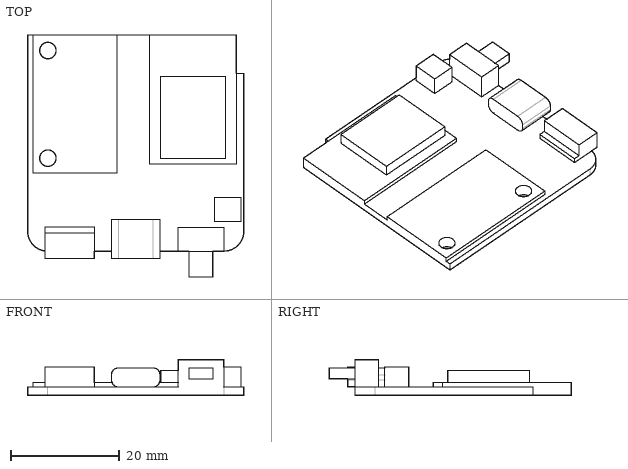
import cadquery as cq

BOARD_WIDTH = 39.9
BOARD_LENGTH = 39.9
BOARD_THICKNESS = 1.55
CORNER_RADIUS = 3.7
NOTCH_WIDTH = 1.4
NOTCH_LENGTH = 7.1

CARD_THICKNESS = 0.85
LEFT_CARD_X = (1.0, 16.5)
LEFT_CARD_LENGTH = 25.5
RIGHT_CARD_START = 22.47
RIGHT_CARD_LENGTH = 23.8
CARD_TOP = BOARD_THICKNESS + CARD_THICKNESS

HOLE_DIAMETER = 3.0
HOLE_X = 3.75
HOLE_BACK_OFFSET = 2.9
HOLE_SPACING = 19.85

CHIP_X = (24.55, 36.5)
CHIP_BACK_OFFSET = 7.75
CHIP_LENGTH = 15.1
CHIP_HEIGHT = 2.2

CONNECTOR_FRONT = -1.35
SOCKET_X = (3.2, 12.35)
SOCKET_BODY_BACK = 3.35
SOCKET_LEDGE_BACK = 4.5
SOCKET_HEIGHT = 3.7
SOCKET_LEDGE_HEIGHT = 1.0
USB_X = (15.45, 24.45)
USB_BACK = 5.9
USB_HEIGHT = 3.55
USB_RADIUS = 1.3

SWITCH_X = (27.75, 36.2)
SWITCH_DEPTH = 4.4
SWITCH_HEIGHT = 5.05
LEVER_X = (29.75, 34.2)
LEVER_LENGTH = 4.8
LEVER_Z = (3.05, 5.1)
BLOCK_X = (34.45, 39.35)
BLOCK_Y = (5.45, 9.9)
BLOCK_HEIGHT = 3.7


def box(x_range, y_range, z_range):
    """Box filling the given (low, high) range on each axis."""
    sizes = [high - low for low, high in (x_range, y_range, z_range)]
    corner = (x_range[0], y_range[0], z_range[0])
    return cq.Workplane("XY").box(*sizes, centered=False).translate(corner)


def on_board(x_range, y_range, height):
    """Box standing on the top face of the board."""
    return box(x_range, y_range, (BOARD_THICKNESS, BOARD_THICKNESS + height))


def make_board():
    board = box((0, BOARD_WIDTH), (0, BOARD_LENGTH), (0, BOARD_THICKNESS))
    board = board.edges("|Z and <Y").fillet(CORNER_RADIUS)
    notch = box(
        (BOARD_WIDTH - NOTCH_WIDTH, BOARD_WIDTH),
        (BOARD_LENGTH - NOTCH_LENGTH, BOARD_LENGTH),
        (0, BOARD_THICKNESS),
    )
    return board.cut(notch)


def make_cards():
    left = on_board(LEFT_CARD_X, (BOARD_LENGTH - LEFT_CARD_LENGTH, BOARD_LENGTH), CARD_THICKNESS)
    right_x = (RIGHT_CARD_START, BOARD_WIDTH - NOTCH_WIDTH)
    right = on_board(right_x, (BOARD_LENGTH - RIGHT_CARD_LENGTH, BOARD_LENGTH), CARD_THICKNESS)
    chip_back = BOARD_LENGTH - CHIP_BACK_OFFSET
    chip = box(CHIP_X, (chip_back - CHIP_LENGTH, chip_back), (CARD_TOP, CARD_TOP + CHIP_HEIGHT))
    return left.union(right.union(chip))


def make_socket():
    body = on_board(SOCKET_X, (CONNECTOR_FRONT, SOCKET_BODY_BACK), SOCKET_HEIGHT)
    ledge = on_board(SOCKET_X, (CONNECTOR_FRONT, SOCKET_LEDGE_BACK), SOCKET_LEDGE_HEIGHT)
    return body.union(ledge)


def make_usb():
    shell = on_board(USB_X, (CONNECTOR_FRONT, USB_BACK), USB_HEIGHT)
    return shell.edges("|Y").fillet(USB_RADIUS)


def make_switch():
    body = on_board(SWITCH_X, (0, SWITCH_DEPTH), SWITCH_HEIGHT)
    lever = box(LEVER_X, (-LEVER_LENGTH, 0), LEVER_Z)
    return body.union(lever)


def make_holes():
    back_hole_y = BOARD_LENGTH - HOLE_BACK_OFFSET
    centers = [(HOLE_X, back_hole_y), (HOLE_X, back_hole_y - HOLE_SPACING)]
    return cq.Workplane("XY").pushPoints(centers).circle(HOLE_DIAMETER / 2).extrude(CARD_TOP)


result = make_board()
for component in (
    make_cards(),
    make_socket(),
    make_usb(),
    make_switch(),
    on_board(BLOCK_X, BLOCK_Y, BLOCK_HEIGHT),
):
    result = result.union(component)
result = result.cut(make_holes())